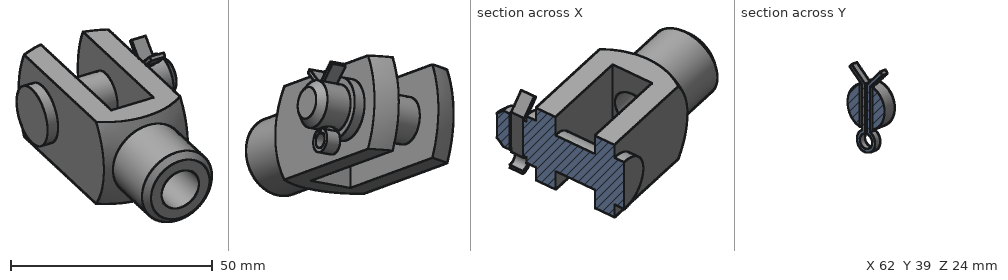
import cadquery as cq
import math

fork_width = 24.0
slot_width = 12.0
slot_end_x = 24.0
tip_x = -14.0
tip_dome_radius = 29.5
shoulder_dome_radius = 23.8
shoulder_dome_center_x = 10.2
neck_diameter = 20.0
neck_end_x = 48.0
neck_chamfer = 1.65
thread_bore_diameter = 10.65

pin_diameter = 12.0
collar_diameter = 15.6
collar_thickness = 3.0
pin_end_y = 24.0
pin_chamfer = 2.0

clip_y = 18.0
clip_width = 4.0
cross_hole_diameter = 4.0
strip_thickness = 1.1
leg_gap = 0.6
loop_radius = 3.0
loop_bottom_z = -fork_width / 2
bend_z = pin_diameter / 2
leaf_length = 6.0
leaf_angle = math.radians(45)


def sphere_reach(radius, distance):
    """Axial distance from a sphere's center to its surface at a given distance from the axis."""
    return math.sqrt(radius**2 - distance**2)


def cylinder_y(diameter, start_y, end_y):
    """Cylinder on the pin axis from start_y to end_y."""
    base = cq.Workplane("XZ", origin=(0, start_y, 0))
    return base.circle(diameter / 2).extrude(start_y - end_y)


def make_domed_envelope():
    """Solid of revolution about X that rounds both ends of the square fork and forms the neck."""
    corner_radius = fork_width / math.sqrt(2)
    neck_radius = neck_diameter / 2

    tip_center_x = tip_x + sphere_reach(tip_dome_radius, slot_width / 2)
    tip_apex_x = tip_center_x - tip_dome_radius
    tip_rim_x = tip_center_x - sphere_reach(tip_dome_radius, corner_radius)
    tip_mid_x = tip_center_x - sphere_reach(tip_dome_radius, corner_radius / 2)

    shoulder_rim_x = shoulder_dome_center_x + sphere_reach(shoulder_dome_radius, corner_radius)
    shoulder_mid_radius = (corner_radius + neck_radius) / 2
    shoulder_mid_x = shoulder_dome_center_x + sphere_reach(shoulder_dome_radius, shoulder_mid_radius)
    neck_start_x = shoulder_dome_center_x + sphere_reach(shoulder_dome_radius, neck_radius)

    profile = (
        cq.Workplane("XY")
        .moveTo(tip_apex_x, 0)
        .threePointArc((tip_mid_x, corner_radius / 2), (tip_rim_x, corner_radius))
        .lineTo(shoulder_rim_x, corner_radius)
        .threePointArc((shoulder_mid_x, shoulder_mid_radius), (neck_start_x, neck_radius))
        .lineTo(neck_end_x - neck_chamfer, neck_radius)
        .lineTo(neck_end_x, neck_radius - neck_chamfer)
        .lineTo(neck_end_x, 0)
        .close()
    )
    return profile.revolve(360, (0, 0, 0), (1, 0, 0))


def make_fork():
    square_bar = cq.Workplane("YZ").rect(fork_width, fork_width).extrude(neck_end_x, both=True)
    slot = cq.Workplane("YZ", origin=(slot_end_x, 0, 0)).rect(slot_width, fork_width).extrude(-2 * slot_end_x)
    bore = cq.Workplane("YZ").circle(thread_bore_diameter / 2).extrude(neck_end_x)
    return make_domed_envelope().intersect(square_bar).cut(slot).cut(bore)


def make_pin():
    arm_face_y = fork_width / 2
    head = cylinder_y(collar_diameter, -arm_face_y - collar_thickness, -arm_face_y)
    collar = cylinder_y(collar_diameter, arm_face_y, arm_face_y + collar_thickness)
    shank = cylinder_y(pin_diameter, -arm_face_y, pin_end_y).faces(">Y").chamfer(pin_chamfer)
    cross_hole = (
        cq.Workplane("XY", origin=(0, clip_y, 0))
        .circle(cross_hole_diameter / 2)
        .extrude(pin_diameter, both=True)
    )
    return shank.cut(cross_hole).union(head).union(collar)


def clip_sketch():
    """Fresh XZ workplane on the clip's middle plane."""
    return cq.Workplane("XZ", origin=(0, clip_y, 0))


def extrude_clip(outline):
    """Extrude an XZ outline symmetrically about the clip's middle plane."""
    return outline.extrude(clip_width / 2, both=True)


def make_clip_leg(side):
    """Straight leg on one side (-1 or +1 along X) with its leaf bent outwards above the pin."""
    inner_x = leg_gap / 2
    outer_x = inner_x + strip_thickness
    loop_center_z = loop_bottom_z + loop_radius
    leg_inner_z = loop_center_z + sphere_reach(loop_radius - strip_thickness / 2, inner_x)
    leg_outer_z = loop_center_z + sphere_reach(loop_radius, outer_x)
    outer_bend_z = bend_z - strip_thickness * math.tan(leaf_angle / 2)

    leaf_dx = leaf_length * math.sin(leaf_angle)
    leaf_dz = leaf_length * math.cos(leaf_angle)
    end_dx = strip_thickness * math.cos(leaf_angle)
    end_dz = strip_thickness * math.sin(leaf_angle)
    points = [
        (inner_x, leg_inner_z),
        (inner_x, bend_z),
        (inner_x + leaf_dx, bend_z + leaf_dz),
        (inner_x + leaf_dx + end_dx, bend_z + leaf_dz - end_dz),
        (outer_x, outer_bend_z),
        (outer_x, leg_outer_z),
    ]
    outline = clip_sketch().polyline([(side * x, z) for x, z in points])
    return extrude_clip(outline.close())


def make_clip():
    loop_center_z = loop_bottom_z + loop_radius
    ring = clip_sketch().center(0, loop_center_z).circle(loop_radius).circle(loop_radius - strip_thickness)
    gap = clip_sketch().center(0, loop_center_z + loop_radius).rect(leg_gap, 2 * loop_radius)
    loop = extrude_clip(ring).cut(extrude_clip(gap))
    return loop.union(make_clip_leg(-1)).union(make_clip_leg(1))


result = make_fork().union(make_pin()).union(make_clip())